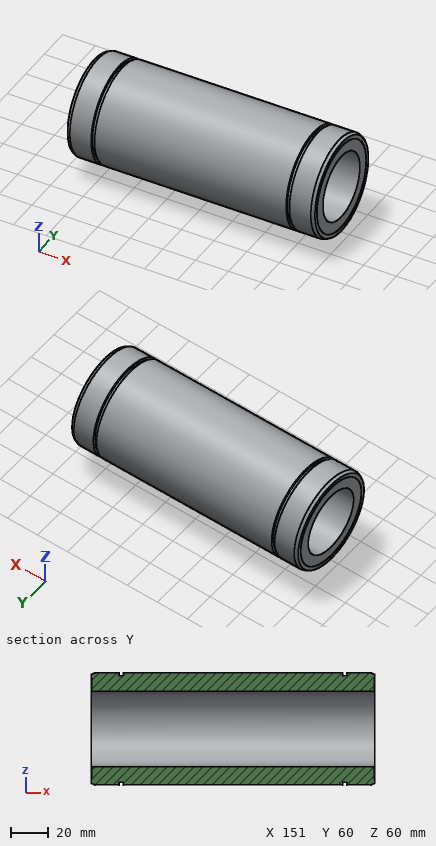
import cadquery as cq

length = 151.0
outer_diameter = 60.0
bore_diameter = 40.0

groove_diameter = 57.0
groove_width = 2.1
groove_inset = 15.0

chamfer_length = 2.0
chamfer_drop = 0.9

recess_diameter = 53.5
recess_depth = 0.2

cutter_clearance = 1.5

outer_radius = outer_diameter / 2
bore_radius = bore_diameter / 2
recess_radius = recess_diameter / 2
half_length = length / 2


def make_sleeve():
    """Tube wall with chamfered outer edges and recessed end faces, revolved about X."""
    end_radius = outer_radius - chamfer_drop
    chamfer_start = half_length - chamfer_length
    recess_floor = half_length - recess_depth
    wall = [
        (-recess_floor, bore_radius),
        (-recess_floor, recess_radius),
        (-half_length, recess_radius),
        (-half_length, end_radius),
        (-chamfer_start, outer_radius),
        (chamfer_start, outer_radius),
        (half_length, end_radius),
        (half_length, recess_radius),
        (recess_floor, recess_radius),
        (recess_floor, bore_radius),
    ]
    return cq.Workplane("XY").polyline(wall).close().revolve(360, (0, 0, 0), (1, 0, 0))


def make_groove_cutter(start_x):
    """Ring that cuts one groove, from start_x along +X."""
    return (
        cq.Workplane("YZ", origin=(start_x, 0, 0))
        .circle(outer_radius + cutter_clearance)
        .circle(groove_diameter / 2)
        .extrude(groove_width)
    )


left_groove_start = -half_length + groove_inset
right_groove_start = half_length - groove_inset - groove_width

result = make_sleeve()
for groove_start in (left_groove_start, right_groove_start):
    result = result.cut(make_groove_cutter(groove_start))